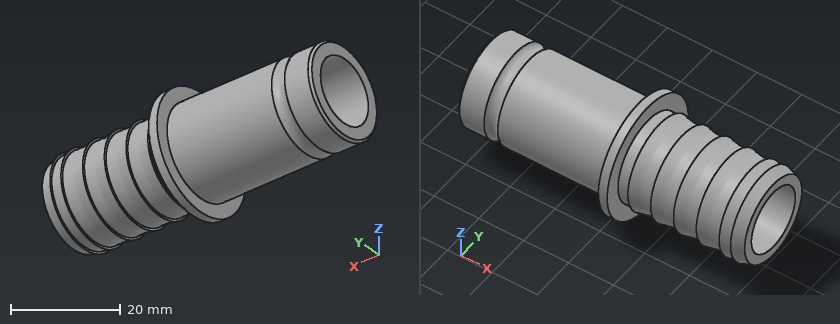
import cadquery as cq


length = 63.5
bore_diameter = 14.0

plug_radius = 20.0 / 2
plug_chamfer = 0.5
groove_start = 6.0
groove_width = 3.05
groove_depth = 0.7

flange_start = 33.5
flange_thickness = 2.0
flange_diameter = 25.9

core_radius = 19.0 / 2
crest_radius = plug_radius
tip_radius = 9.15
barb_count = 5

flange_end = flange_start + flange_thickness
barb_length = (length - flange_end) / (2 * barb_count + 1)
barb_pitch = 2 * barb_length


def make_plug():
    """Chamfered cylinder with a groove made of two arcs that meet at its floor."""
    groove_middle = groove_start + groove_width / 2
    groove_end = groove_start + groove_width
    floor_radius = plug_radius - groove_depth
    half_width = groove_width / 2
    arc_radius = (half_width**2 + groove_depth**2) / (2 * groove_depth)
    return (
        cq.Workplane("XY")
        .lineTo(0, plug_radius - plug_chamfer)
        .lineTo(plug_chamfer, plug_radius)
        .lineTo(groove_start, plug_radius)
        .radiusArc((groove_middle, floor_radius), -arc_radius)
        .radiusArc((groove_end, plug_radius), -arc_radius)
        .lineTo(flange_start, plug_radius)
        .lineTo(flange_start, 0)
        .close()
        .revolve(360, (0, 0), (1, 0))
    )


def make_flange():
    """Plain round collar between the plug and the hose stem."""
    face = cq.Workplane("YZ", origin=(flange_start, 0, 0))
    return face.circle(flange_diameter / 2).extrude(flange_thickness)


def make_hose_stem():
    """Core with sawtooth barbs that have a square step facing the flange, and a tapered tip."""
    outline = cq.Workplane("XY").moveTo(flange_end, 0).lineTo(flange_end, core_radius)
    for index in range(barb_count):
        barb_start = flange_end + barb_length + index * barb_pitch
        outline = (
            outline.lineTo(barb_start, core_radius)
            .lineTo(barb_start, crest_radius)
            .lineTo(barb_start + barb_length, core_radius)
        )
    return (
        outline.lineTo(length - barb_length, crest_radius)
        .lineTo(length, tip_radius)
        .lineTo(length, 0)
        .close()
        .revolve(360, (0, 0), (1, 0))
    )


bore = cq.Workplane("YZ").circle(bore_diameter / 2).extrude(length)

result = make_plug().union(make_flange()).union(make_hose_stem()).cut(bore)